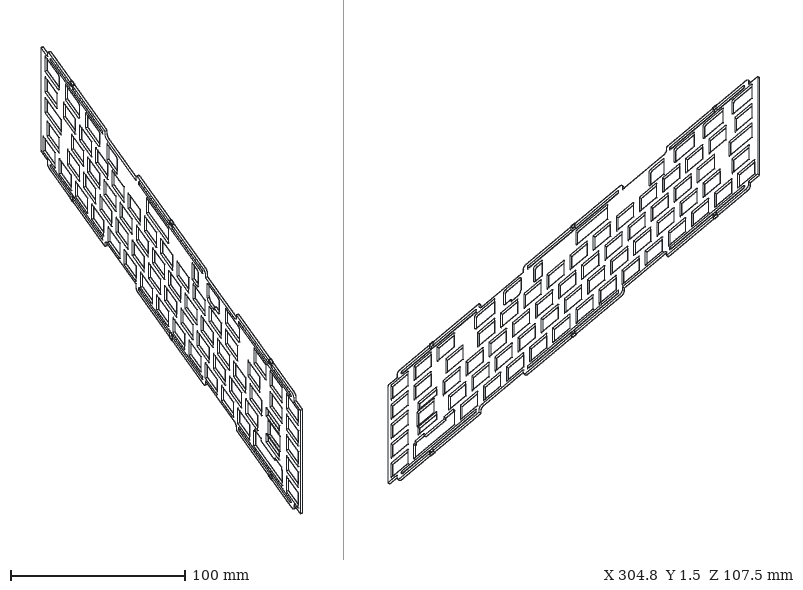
import cadquery as cq

thickness = 1.5
total_height = 107.5
plate_width = 304.8
columns = 16
rows = 5
key_pitch = plate_width / columns
plate_height = rows * key_pitch
plate_left = -plate_width / 2
plate_edge = plate_height / 2

switch_size = 14.0
half_switch = switch_size / 2
corner_radius = 1.5
small_radius = 1.0

stab_inner = 8.2
stab_outer = 16.0
stab_long_reach = 9.0
stab_short_reach = 6.0
stab_spans = ((stab_inner, stab_outer), (-stab_outer, -stab_inner))

modifier_columns = [0.625, 1.875, 3.125, 11.75]
switch_columns = [
    [13.5, 14.5, 15.5],
    [0.625] + [1.75 + i for i in range(11)] + [13.125, 14.5, 15.5],
    [2.25 + i for i in range(12)] + [15.5],
    [0.75] + [2 + i for i in range(12)] + [15.5],
    [0.5 + i for i in range(13)] + [15.5],
]

slot_height = 2.5
slot_end_radius = 1.2
rail_height = 3.0
rail_top = plate_edge + slot_height + rail_height
rail_wall = 3.5
side_rail_start = 7.5
side_rail_end = 75.3
side_rail_inner_wall = 2.7
side_notch = 35.7
middle_rail_half_width = 40.8
rail_corner_radius = 2.5
notch_width = 2.7
bridge_width = 3.0
bridge_thickness = 1.0


def column_x(column):
    return plate_left + column * key_pitch


def row_z(row):
    return plate_edge - (row + 0.5) * key_pitch


def block(x_min, x_max, z_min, z_max):
    """A box through the plate thickness between the given X and Z limits."""
    return (
        cq.Workplane("XZ")
        .center((x_min + x_max) / 2, (z_min + z_max) / 2)
        .rect(x_max - x_min, z_max - z_min)
        .extrude(thickness / 2, both=True)
    )


def switch_cutout(x, z):
    return block(x - half_switch, x + half_switch, z - half_switch, z + half_switch)


def middle_rail():
    """Rail at the centre of the top edge, with both outer corners rounded."""
    half = middle_rail_half_width
    rail = block(-half, half, plate_edge, rail_top)
    rail = rail.edges("|Y and >Z").fillet(rail_corner_radius)
    slot_half = half - rail_wall
    rail = rail.cut(block(-slot_half, slot_half, plate_edge, plate_edge + slot_height))
    return add_notch(rail, 0)


def left_rail():
    """Rail at the left of the top edge, with a fillet where its inner end meets the plate."""
    start = plate_left + side_rail_start
    end = plate_left + side_rail_end
    rail = block(start, end, plate_edge, rail_top)
    rail = rail.edges("|Y and >Z and <X").fillet(rail_corner_radius)
    slot = block(start + rail_wall, end - side_rail_inner_wall, plate_edge, plate_edge + slot_height)
    slot = slot.edges("|Y and <X").fillet(slot_end_radius)
    root = (
        cq.Workplane("XZ", origin=(0, thickness / 2, 0))
        .moveTo(end, plate_edge)
        .lineTo(end + rail_corner_radius, plate_edge)
        .radiusArc((end, plate_edge + rail_corner_radius), rail_corner_radius)
        .close()
        .extrude(thickness)
    )
    return add_notch(rail.cut(slot).union(root), plate_left + side_notch)


def add_notch(rail, x):
    """Splits the rail at x and closes the gap with the thin bridge above it."""
    half_notch = notch_width / 2
    half_bridge = bridge_width / 2
    bridge_top = total_height / 2
    bridge = block(x - half_bridge, x + half_bridge, bridge_top - bridge_thickness, bridge_top)
    return rail.cut(block(x - half_notch, x + half_notch, plate_edge, rail_top)).union(bridge)


plate = block(plate_left, -plate_left, -plate_edge, plate_edge)
side = left_rail()
top_rails = middle_rail().union(side).union(side.mirror("YZ"))
plate = plate.union(top_rails).union(top_rails.mirror("XY"))

cutouts = []

for row, row_columns in enumerate(switch_columns):
    for column in row_columns:
        cutouts.append(switch_cutout(column_x(column), row_z(row)))

modifier_width = 16.5
top_z = row_z(0)
for column in modifier_columns:
    left = column_x(column) - half_switch
    window = block(left, left + modifier_width, top_z - half_switch, top_z + half_switch)
    cutouts.append(window.edges("|Y and >X").fillet(corner_radius))

space_left = column_x(6.875) - half_switch
space_right = column_x(7.5) + half_switch
space = block(space_left, space_right, top_z - half_switch, top_z + half_switch)
cutouts.append(space.edges("|Y and >X").fillet(small_radius))

space_stab_bottom = top_z - stab_long_reach
space_stab_top = top_z + stab_short_reach
left_stab_start = plate_left + 77.5
left_stab_width = 12.2
right_stab_start = plate_left + 177.7
right_stab_width = 7.0
left_stab = block(left_stab_start, left_stab_start + left_stab_width, space_stab_bottom, space_stab_top)
left_stab = left_stab.edges("|Y and >X and >Z").fillet(corner_radius)
cutouts.append(left_stab.edges("|Y and >X and <Z").fillet(small_radius))
right_stab = block(right_stab_start, right_stab_start + right_stab_width, space_stab_bottom, space_stab_top)
cutouts.append(right_stab.edges("|Y and >X").fillet(corner_radius))

merged_start = plate_left + 195.0
merged_width = 14.3
merged_stab_start = plate_left + 195.7
merged_stab_width = 7.5
merged_stab_radius = 2.0
merged = block(merged_start, merged_start + merged_width, top_z - half_switch, top_z + half_switch)
cutouts.append(merged.edges("|Y").fillet(corner_radius))
merged_stab = block(merged_stab_start, merged_stab_start + merged_stab_width, space_stab_bottom, top_z)
cutouts.append(merged_stab.edges("|Y and <X and <Z").fillet(merged_stab_radius))

caps_z = row_z(2)
caps_left = column_x(0.625) - half_switch
caps_right = column_x(0.875) + half_switch
cutouts.append(block(caps_left, caps_right, caps_z - half_switch, caps_z + half_switch))

enter_x = column_x(14.375)
enter_z = row_z(2.5)
cutouts.append(switch_cutout(enter_x, enter_z))
for near, far in stab_spans:
    cutouts.append(
        block(enter_x - stab_long_reach, enter_x + stab_short_reach, enter_z + near, enter_z + far)
    )

backspace_x = column_x(14)
backspace_z = row_z(4)
backspace_half_width = 16.8
cutouts.append(
    block(
        backspace_x - backspace_half_width,
        backspace_x + backspace_half_width,
        backspace_z - half_switch,
        backspace_z + half_switch,
    )
)
for near, far in stab_spans:
    cutouts.append(
        block(backspace_x + near, backspace_x + far, backspace_z, backspace_z + stab_long_reach)
    )

result = plate
for cutout in cutouts:
    result = result.cut(cutout)